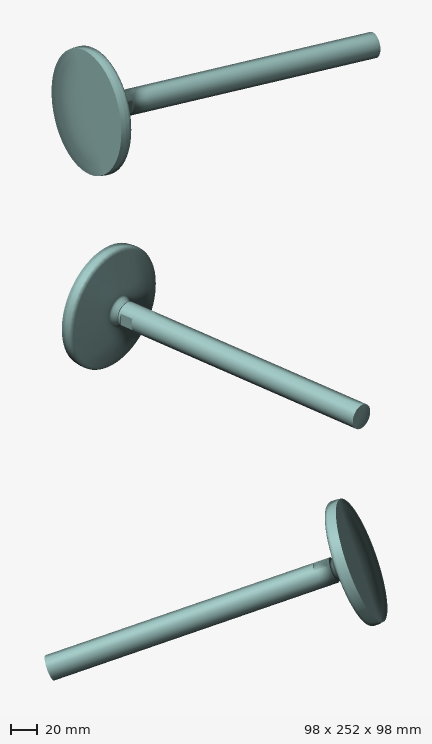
import cadquery as cq

OVERALL_LENGTH = 252.0

FOOT_DIAMETER = 98.0
UNDERSIDE_DIAMETER = 97.0
RIM_BOTTOM = 3.8
SHOULDER_HEIGHT = 9.3
SHOULDER_RADIUS = 3.0
COLLAR_BASE_DIAMETER = 23.7
COLLAR_BASE_HEIGHT = 15.5
COLLAR_BASE_FILLET = 1.3
COLLAR_TOP_DIAMETER = 18.1
COLLAR_LAND = 0.8
COLLAR_TOP_HEIGHT = 20.7
EDGE_TOLERANCE = 0.03

STEM_DIAMETER = 20.0
STEM_START = 22.2
ACROSS_FLATS = 17.5
FLAT_START = 23.7
FLAT_LENGTH = 11.3
BALL_RADIUS = 9.8
BALL_CENTRE = 15.5


def make_ball():
    """Ball of the joint, centred on the Y axis."""
    return cq.Workplane("XY").sphere(BALL_RADIUS).translate((0, BALL_CENTRE, 0))


def circle_at(height):
    """Selector for the circular edge of the foot at one height."""
    reach = FOOT_DIAMETER
    return cq.selectors.BoxSelector(
        (-reach, height - EDGE_TOLERANCE, -reach),
        (reach, height + EDGE_TOLERANCE, reach),
    )


def make_foot():
    """Revolved foot with a spherical socket open at the collar."""
    rim_radius = FOOT_DIAMETER / 2
    body = (
        cq.Workplane("XY")
        .lineTo(UNDERSIDE_DIAMETER / 2, 0)
        .lineTo(rim_radius, RIM_BOTTOM)
        .lineTo(rim_radius, SHOULDER_HEIGHT)
        .lineTo(COLLAR_BASE_DIAMETER / 2, COLLAR_BASE_HEIGHT)
        .lineTo(COLLAR_TOP_DIAMETER / 2, COLLAR_TOP_HEIGHT - COLLAR_LAND)
        .lineTo(COLLAR_TOP_DIAMETER / 2, COLLAR_TOP_HEIGHT)
        .lineTo(0, COLLAR_TOP_HEIGHT)
        .close()
        .revolve(360, (0, 0, 0), (0, 1, 0))
    )
    body = body.edges(circle_at(SHOULDER_HEIGHT)).fillet(SHOULDER_RADIUS)
    body = body.edges(circle_at(COLLAR_BASE_HEIGHT)).fillet(COLLAR_BASE_FILLET)
    return body.cut(make_ball())


def make_stem():
    """Round stem with two wrench flats, ending in the ball."""
    shaft_length = OVERALL_LENGTH - STEM_START
    shaft = (
        cq.Workplane("XZ", origin=(0, STEM_START, 0))
        .circle(STEM_DIAMETER / 2)
        .extrude(-shaft_length)
    )
    flat_centre_y = FLAT_START + FLAT_LENGTH / 2
    for side in (-1, 1):
        cutter_x = side * (ACROSS_FLATS + STEM_DIAMETER) / 2
        cutter = (
            cq.Workplane("XY")
            .box(STEM_DIAMETER, FLAT_LENGTH, STEM_DIAMETER)
            .translate((cutter_x, flat_centre_y, 0))
        )
        shaft = shaft.cut(cutter)
    return shaft.union(make_ball())


foot = make_foot()
stem = make_stem()
result = cq.Compound.makeCompound([foot.val(), stem.val()])